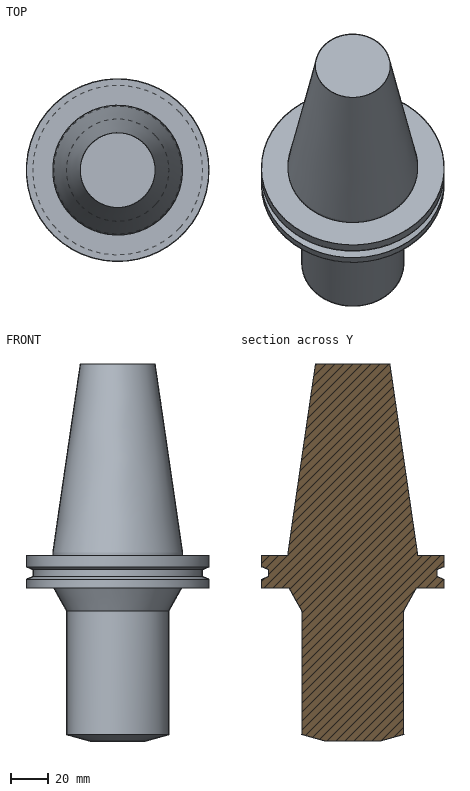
import cadquery as cq

total_height = 203.2
taper_height = 101.5
gauge_z = total_height - taper_height
collar_height = 1.5
flange_top_z = gauge_z - collar_height
flange_bottom_z = 82.5
neck_top_z = 70.3
tip_height = 3.7

flange_diameter = 98.3
groove_diameter = 91.2
gauge_diameter = 70.0
neck_diameter = 55.0
tip_diameter = 28.9
shoulder_diameter = 68.7

taper_ratio = 7 / 24
shank_end_diameter = gauge_diameter - taper_height * taper_ratio

groove_center_z = 90.6
groove_floor_width = 3.7
groove_mouth_width = 6.7

profile = [
    (0, 0),
    (tip_diameter, 0),
    (neck_diameter, tip_height),
    (neck_diameter, neck_top_z),
    (shoulder_diameter, flange_bottom_z),
    (flange_diameter, flange_bottom_z),
    (flange_diameter, groove_center_z - groove_mouth_width / 2),
    (groove_diameter, groove_center_z - groove_floor_width / 2),
    (groove_diameter, groove_center_z + groove_floor_width / 2),
    (flange_diameter, groove_center_z + groove_mouth_width / 2),
    (flange_diameter, flange_top_z),
    (gauge_diameter, flange_top_z),
    (gauge_diameter, gauge_z),
    (shank_end_diameter, total_height),
    (0, total_height),
]

result = (
    cq.Workplane("XZ")
    .polyline([(diameter / 2, z) for diameter, z in profile])
    .close()
    .revolve(360, (0, 0, 0), (0, 1, 0))
)